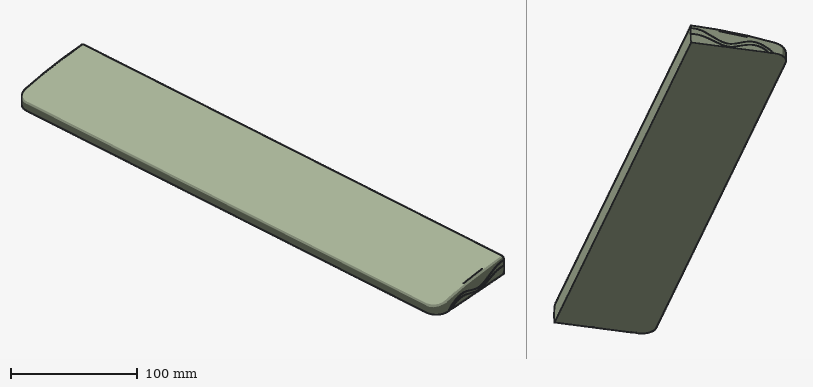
import cadquery as cq
import math

LENGTH = 441.0
DEPTH = 80.5
HEIGHT = 17.0
CROWN_RADIUS = 408.0
CORNER_RADIUS = 12.0
RIM_FILLET = 2.7
BACK_RADIUS = 57.0
BACK_BULGE_HEIGHT = 7.5

HALF_LENGTH = LENGTH / 2
BACK_Y = DEPTH / 2
FRONT_Y = -DEPTH / 2

GROOVE_DEPTH = 0.3
VALLEY_FROM_BACK = 31.5
CREST_FROM_BACK = 50.0
WAVE_UPPER_EDGE = [
    (0.0, 13.2),
    (7.0, 12.9),
    (VALLEY_FROM_BACK, 3.4),
    (CREST_FROM_BACK, 8.2),
    (60.5, 5.4),
    (67.5, 0.0),
]
WAVE_LOWER_EDGE = [
    (0.0, 7.9),
    (10.0, 7.4),
    (VALLEY_FROM_BACK, 0.8),
    (CREST_FROM_BACK, 5.2),
    (58.5, 3.7),
    (63.5, 0.0),
]


def crown_height(from_back):
    """Height of the top surface at a distance from the back."""
    return HEIGHT - CROWN_RADIUS + math.sqrt(CROWN_RADIUS**2 - from_back**2)


def back_face_y(height):
    """Y of the bulging back face at a height above the base."""
    rise = height - BACK_BULGE_HEIGHT
    return BACK_Y - BACK_RADIUS + math.sqrt(BACK_RADIUS**2 - rise**2)


def make_body():
    """Crowned bar with rounded front corners and a filleted rim, sharp along the back."""
    profile = (
        cq.Workplane("YZ", origin=(-HALF_LENGTH, 0, 0))
        .moveTo(back_face_y(0), 0)
        .threePointArc((BACK_Y, BACK_BULGE_HEIGHT), (back_face_y(HEIGHT), HEIGHT))
        .threePointArc((0, crown_height(DEPTH / 2)), (FRONT_Y, crown_height(DEPTH)))
        .lineTo(FRONT_Y, 0)
        .close()
    )
    bar = profile.extrude(LENGTH)
    bar = bar.edges("|Z and <Y").fillet(CORNER_RADIUS)
    rim = bar.faces(">Z").edges("not(|X and >Y)")
    return rim.fillet(RIM_FILLET)


def make_wave_groove(end_x, inward):
    """Cutter for the groove in the end face at end_x; inward is +1 or -1 along X."""
    upper = [(BACK_Y - distance, height) for distance, height in WAVE_UPPER_EDGE]
    lower = [(BACK_Y - distance, height) for distance, height in reversed(WAVE_LOWER_EDGE)]
    outline = (
        cq.Workplane("YZ", origin=(end_x, 0, 0))
        .moveTo(*upper[0])
        .spline(upper[1:], includeCurrent=True)
        .lineTo(*lower[0])
        .spline(lower[1:], includeCurrent=True)
        .close()
    )
    return outline.extrude(inward * GROOVE_DEPTH)


result = make_body()
for side in (-1, 1):
    result = result.cut(make_wave_groove(side * HALF_LENGTH, -side))